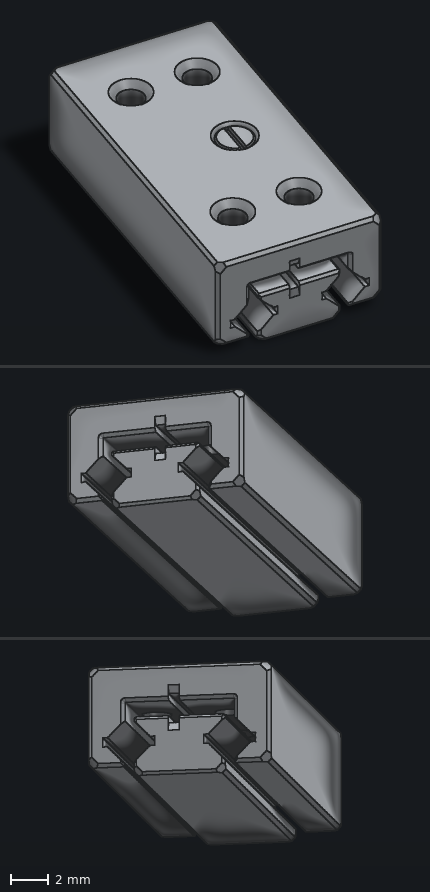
import cadquery as cq
import math

length = 20.0
carriage_width = 10.0
total_height = 6.0
carriage_bottom = 0.5
rail_width = 5.0
rail_height = 3.2

edge_chamfer = 0.2
rail_end_chamfer = 0.15
rail_top_chamfer = 0.1
lip_chamfer = 0.05
corner_end_reach = 0.5
carriage_corner_reach = 0.75
rail_corner_reach = 0.65

channel_width = 6.0
channel_top = 4.05
channel_fillet = 0.05

groove_center_z = 1.85
relief_height = 0.5
relief_depth = 0.25
carriage_root_y = 3.92
rail_root_y = 1.6

slot_width = 0.6
slot_center_y = -slot_width / 2
slot_depth = 0.38
ramp_rise = 0.45
ramp_length = 0.15

hole_diameter = 1.6
countersink_diameter = 2.45
countersink_angle = 90.0
hole_spacing_x = 12.0
hole_spacing_y = 4.0

screw_y = 1.2
screw_diameter = 2.2
screw_chamfer = 0.1
screw_top = 5.9
bore_mouth_diameter = 2.6
tip_diameter = 0.9
tip_bottom = 3.35
driver_slot_width = 0.35
driver_slot_depth = 0.3


def block(width, bottom, top):
    """Block of full length, centered in X and Y."""
    return cq.Workplane("XY", origin=(0, 0, bottom)).box(
        length, width, top - bottom, centered=(True, True, False)
    )


def slice_corners(body, width, corner_z, side_z, side_reach):
    """Cut a slanting facet on the four corners at height corner_z."""
    cutter_size = 4 * side_reach
    for side_x in (-1, 1):
        for side_y in (-1, 1):
            facet = cq.Plane(
                origin=(side_x * (length / 2 - corner_end_reach), side_y * width / 2, corner_z),
                normal=(side_x / corner_end_reach, side_y / side_reach, side_z / side_reach),
            )
            body = body.cut(cq.Workplane(facet).rect(cutter_size, cutter_size).extrude(cutter_size))
    return body


def v_groove(side, mouth_y, root_y):
    """Groove along X with 45 degree flanks that narrow from mouth_y to root_y."""
    half_relief = relief_height / 2
    half_mouth = half_relief + abs(mouth_y - root_y)
    relief_y = root_y + math.copysign(relief_depth, root_y - mouth_y)
    outline = [
        (mouth_y, half_mouth),
        (root_y, half_relief),
        (relief_y, half_relief),
        (relief_y, -half_relief),
        (root_y, -half_relief),
        (mouth_y, -half_mouth),
    ]
    points = [(side * y, groove_center_z + z) for y, z in outline]
    return cq.Workplane("YZ").polyline(points).close().extrude(length / 2, both=True)


def cage_slot(face_z, direction):
    """Slot along X, sunk into the face at face_z, with a ramp down to each end."""
    half_length = length / 2
    floor_z = face_z + direction * slot_depth
    end_z = floor_z + direction * ramp_rise
    points = [
        (-half_length, face_z),
        (half_length, face_z),
        (half_length, end_z),
        (half_length - ramp_length, floor_z),
        (ramp_length - half_length, floor_z),
        (-half_length, end_z),
    ]
    outline = cq.Workplane("XZ", origin=(0, slot_center_y, 0)).polyline(points).close()
    return outline.extrude(slot_width / 2, both=True)


def channel():
    """Channel through the carriage, with rounded top corners and flared ends."""
    straight = block(channel_width, 0, channel_top).edges("|X and >Z").fillet(channel_fillet)
    flared = block(channel_width + 2 * edge_chamfer, 0, channel_top + edge_chamfer)
    flared = flared.edges("|X and >Z").fillet(channel_fillet + edge_chamfer)
    for end, side in (("<X", -1), (">X", 1)):
        mouth = flared.faces(end).wires().val()
        throat = straight.faces(end).wires().val().translate(cq.Vector(-side * edge_chamfer, 0, 0))
        straight = straight.union(cq.Workplane(cq.Solid.makeLoft([mouth, throat], True)))
    return straight


def lip_bevels():
    """Bar along X that bevels the lower edges of the two lips beside the channel."""
    half_width = channel_width / 2
    outline = [
        (-half_width - lip_chamfer, carriage_bottom),
        (half_width + lip_chamfer, carriage_bottom),
        (half_width, carriage_bottom + lip_chamfer),
        (-half_width, carriage_bottom + lip_chamfer),
    ]
    return cq.Workplane("YZ").polyline(outline).close().extrude(length / 2, both=True)


def screw_axis(z):
    """Horizontal workplane at height z, centered on the set screw."""
    return cq.Workplane("XY", origin=(0, screw_y, z))


def screw_bore():
    """Bore for the set screw, with a 45 degree mouth."""
    mouth_depth = (bore_mouth_diameter - screw_diameter) / 2
    bore = screw_axis(channel_top).circle(screw_diameter / 2).extrude(total_height - channel_top)
    mouth = cq.Solid.makeCone(
        screw_diameter / 2,
        bore_mouth_diameter / 2,
        mouth_depth,
        pnt=cq.Vector(0, screw_y, total_height - mouth_depth),
    )
    return bore.union(cq.Workplane(mouth))


def make_carriage():
    """Upper body that straddles the rail, with mounting holes and the set screw bore."""
    body = block(carriage_width, carriage_bottom, total_height).edges().chamfer(edge_chamfer)
    body = slice_corners(body, carriage_width, total_height, 1, carriage_corner_reach)
    body = slice_corners(body, carriage_width, carriage_bottom, -1, carriage_corner_reach)
    body = body.cut(channel()).cut(lip_bevels())
    for side in (-1, 1):
        body = body.cut(v_groove(side, channel_width / 2, carriage_root_y))
    body = body.cut(cage_slot(channel_top, 1))
    body = (
        body.faces(">Z")
        .workplane(origin=(0, 0, total_height))
        .rarray(hole_spacing_x, hole_spacing_y, 2, 2)
        .cskHole(hole_diameter, countersink_diameter, countersink_angle)
    )
    return body.cut(screw_bore())


def make_rail():
    """Lower bar with a V-groove along each side and a cage slot on top."""
    bar = block(rail_width, 0, rail_height)
    body = bar.edges("|X and >Z").chamfer(rail_top_chamfer).edges("|X and <Z").chamfer(edge_chamfer)
    body = body.intersect(bar.faces("<X or >X").chamfer(rail_end_chamfer))
    body = slice_corners(body, rail_width, 0, -1, rail_corner_reach)
    for side in (-1, 1):
        body = body.cut(v_groove(side, rail_width / 2, rail_root_y))
    return body.cut(cage_slot(rail_height, -1))


def make_set_screw():
    """Slotted set screw whose thin tip hangs below the channel ceiling."""
    body = screw_axis(channel_top).circle(screw_diameter / 2).extrude(screw_top - channel_top)
    body = body.faces(">Z").chamfer(screw_chamfer)
    tip = screw_axis(tip_bottom).circle(tip_diameter / 2).extrude(channel_top - tip_bottom)
    driver_slot = screw_axis(screw_top - driver_slot_depth).box(
        screw_diameter, driver_slot_width, driver_slot_depth, centered=(True, True, False)
    )
    return body.union(tip).cut(driver_slot)


carriage = make_carriage()
rail = make_rail()
set_screw = make_set_screw()

result = cq.Compound.makeCompound([carriage.val(), rail.val(), set_screw.val()])